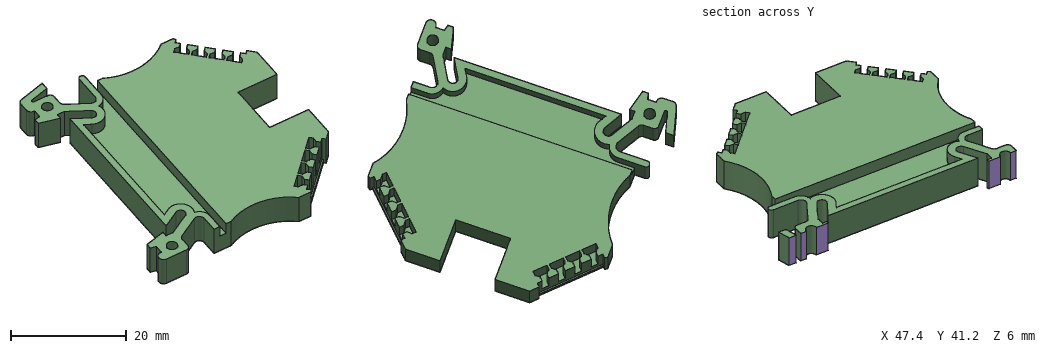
import cadquery as cq
import math


thickness = 6.0
height = 41.2

housing_half_width = 20.55
shoulder_half_width = 22.05
top_half_width = 11.4
top_notch_width = 10.1
top_notch_floor_y = 33.2
shoulder_top_y = 30.7
shoulder_bottom_y = 28.25
waist_half_width = 19.25
waist_y = 20.55
waist_bottom_y = 15.25

face_middle_from_top_corner = 8.1
face_recess_length = 12.5
face_recess_depth = 0.75
face_lip_depth = 0.47
face_lip_height = 0.8
shoulder_tip_length = 0.65
shoulder_tip_inset = shoulder_tip_length / math.sqrt(2)

pocket_count = 4
pocket_pitch = 3.15
pocket_width = 2.65
pocket_neck_width = 1.3
pocket_bottom_depth = 3.05
pocket_shoulder_depth = 2.25
pocket_neck_depth = 1.6
pocket_floor_z = 2.1

ledge_z = 3.65
ledge_top_y = 14.2
rim_bottom_y = 5.2
rim_top_y = 6.45

leg_angle = 60
flange_top_y = 12.95
flange_width = 1.2
flange_bottom_y = flange_top_y - flange_width
flange_reach = 23.1
flange_tip_radius = 0.55
bend_inner_radius = 1.0
bend_outer_radius = bend_inner_radius + flange_width
bend_center = (-17.45, flange_bottom_y - bend_inner_radius)
slot_center = (-14.3, 8.9)
slot_radius = 0.9
slot_wall = 1.5

foot_top_y = 5.85
foot_outer_x = -22.2
foot_inner_x = -17.4
foot_corner_radius = 0.75
leg_root_radius = 0.95
heel_y = 3.95
heel_x = -16.4
lobe_radius = 0.95
sole_notch_y = 1.1
sole_notch_top_x = -18.68
sole_notch_bottom_x = -18.45
foot_hole_center = (-19.95, 3.5)
foot_hole_radius = 1.0

hook_tip_x = -25.2
hook_inner_x = -23.7
hook_slot_bottom_y = 2.0
hook_slot_bottom_x = -22.7
hook_slot_radius = 0.25
hook_heel_x = -23.65
hook_heel_radius = 0.85


def polar(center, radius, degrees):
    angle = math.radians(degrees)
    return (center[0] + radius * math.cos(angle), center[1] + radius * math.sin(angle))


def down_leg(start, y):
    """Point at height y on the line through start that runs parallel to the leg."""
    return (start[0] - (start[1] - y) / math.tan(math.radians(leg_angle)), y)


def edge_at(x, y):
    return cq.NearestToPointSelector((x, y, thickness / 2))


def mirrored(shape):
    return shape.mirror("YZ")


def housing_half():
    """Left half of the housing, down to the underside of the flange."""
    shoulder_tip_y = height - (shoulder_half_width - shoulder_tip_inset - top_half_width)
    return (
        cq.Workplane()
        .moveTo(0, top_notch_floor_y)
        .lineTo(-top_notch_width / 2, top_notch_floor_y)
        .lineTo(-top_notch_width / 2, height)
        .lineTo(-top_half_width, height)
        .lineTo(-shoulder_half_width + shoulder_tip_inset, shoulder_tip_y)
        .lineTo(-shoulder_half_width, shoulder_top_y)
        .lineTo(-shoulder_half_width, shoulder_bottom_y)
        .threePointArc((-waist_half_width, waist_y), (-housing_half_width, waist_bottom_y))
        .lineTo(-housing_half_width, flange_bottom_y)
        .lineTo(0, flange_bottom_y)
        .close()
        .extrude(thickness)
    )


def leg_half():
    """Left half of the rim with its leg and plain foot."""
    normal_angle = leg_angle - 90
    leg_start = polar(bend_center, bend_inner_radius, normal_angle)
    slot_leg_side = polar(slot_center, slot_radius, normal_angle + 180)
    slot_rim_side = polar(slot_center, slot_radius, normal_angle)
    leg_foot_y = slot_leg_side[1] - (slot_leg_side[0] - foot_inner_x) * math.tan(math.radians(leg_angle))
    leg_root = down_leg(leg_start, foot_top_y)
    lobe_center = (foot_outer_x + lobe_radius, lobe_radius)
    leg = (
        cq.Workplane()
        .moveTo(0, flange_top_y)
        .lineTo(bend_center[0], flange_top_y)
        .lineTo(bend_center[0], flange_bottom_y)
        .threePointArc(polar(bend_center, bend_inner_radius, leg_angle / 2), leg_start)
        .lineTo(*leg_root)
        .lineTo(foot_outer_x, foot_top_y)
        .lineTo(foot_outer_x, lobe_radius)
        .threePointArc(polar(lobe_center, lobe_radius, 270), polar(lobe_center, lobe_radius, 0))
        .lineTo(foot_outer_x + 2 * lobe_radius, sole_notch_y)
        .lineTo(sole_notch_top_x, sole_notch_y)
        .lineTo(sole_notch_bottom_x, 0)
        .lineTo(foot_inner_x, 0)
        .lineTo(heel_x, heel_y)
        .lineTo(foot_inner_x, heel_y)
        .lineTo(foot_inner_x, leg_foot_y)
        .lineTo(*slot_leg_side)
        .threePointArc(polar(slot_center, slot_radius, normal_angle + 90), slot_rim_side)
        .lineTo(*down_leg(slot_rim_side, rim_bottom_y))
        .lineTo(0, rim_bottom_y)
        .close()
        .extrude(thickness)
    )
    leg = leg.edges(edge_at(*leg_root)).fillet(leg_root_radius)
    leg = leg.edges(edge_at(foot_outer_x, foot_top_y)).fillet(foot_corner_radius)
    hole = cq.Workplane().center(*foot_hole_center).circle(foot_hole_radius).extrude(thickness)
    return leg.cut(hole)


def ledge_half():
    """Left half of the space above the sunken ledge."""
    wall_radius = slot_radius + slot_wall
    wall_end = polar(slot_center, wall_radius, leg_angle - 90)
    depth = thickness - ledge_z
    plane = cq.Workplane().workplane(offset=ledge_z)
    space = (
        plane.moveTo(0, rim_top_y)
        .lineTo(*down_leg(wall_end, rim_top_y))
        .lineTo(*wall_end)
        .lineTo(*slot_center)
        .lineTo(*bend_center)
        .lineTo(bend_center[0], flange_top_y)
        .lineTo(-housing_half_width, flange_top_y)
        .lineTo(-housing_half_width, ledge_top_y)
        .lineTo(0, ledge_top_y)
        .close()
        .extrude(depth)
    )
    bend = plane.center(*bend_center).circle(bend_outer_radius).extrude(depth)
    slot_end = plane.center(*slot_center).circle(wall_radius).extrude(depth)
    return space.cut(bend).cut(slot_end)


def wire_entry_cut():
    """Recess, lip and marker pockets of the left wire-entry face."""
    inset = face_middle_from_top_corner / math.sqrt(2)
    middle = cq.Vector(-top_half_width - inset, height - inset, 0)
    along_face = cq.Vector(1, 1, 0)
    plane = cq.Plane(origin=middle, xDir=along_face, normal=(0, 0, 1))
    base = cq.Workplane(plane)
    half_length = face_recess_length / 2

    def recess(depth, floor_z):
        return (
            base.workplane(offset=floor_z)
            .moveTo(-half_length, -depth)
            .lineTo(half_length, -depth)
            .lineTo(half_length, 0)
            .lineTo(-half_length, 0)
            .close()
            .extrude(thickness - floor_z)
        )

    cut = recess(face_lip_depth, 0).union(recess(face_recess_depth, face_lip_height))
    half_neck = pocket_neck_width / 2
    half_pocket = pocket_width / 2
    for index in range(pocket_count):
        x = (index - (pocket_count - 1) / 2) * pocket_pitch
        pocket = (
            base.workplane(offset=pocket_floor_z)
            .center(x, 0)
            .polyline(
                [
                    (-half_neck, 0),
                    (-half_neck, -pocket_neck_depth),
                    (-half_pocket, -pocket_shoulder_depth),
                    (-half_pocket, -pocket_bottom_depth),
                    (half_pocket, -pocket_bottom_depth),
                    (half_pocket, -pocket_shoulder_depth),
                    (half_neck, -pocket_neck_depth),
                    (half_neck, 0),
                ]
            )
            .close()
            .extrude(thickness - pocket_floor_z)
        )
        cut = cut.union(pocket)
    return cut


def flange_tip():
    """Rounded end of the left flange, reaching out beyond the housing."""
    tip = (
        cq.Workplane()
        .moveTo(bend_center[0], flange_bottom_y)
        .lineTo(bend_center[0], flange_top_y)
        .lineTo(-flange_reach, flange_top_y)
        .lineTo(-flange_reach, flange_bottom_y)
        .close()
        .extrude(thickness)
    )
    tip = tip.edges(edge_at(-flange_reach, flange_top_y)).fillet(flange_tip_radius)
    return tip.edges(edge_at(-flange_reach, flange_bottom_y)).fillet(flange_tip_radius)


def release_hook():
    lobe_x = foot_outer_x + lobe_radius
    hook = (
        cq.Workplane()
        .moveTo(hook_tip_x, foot_top_y)
        .lineTo(hook_inner_x, foot_top_y)
        .lineTo(hook_slot_bottom_x, hook_slot_bottom_y)
        .lineTo(lobe_x, hook_slot_bottom_y)
        .lineTo(lobe_x, 0)
        .lineTo(hook_heel_x, 0)
        .close()
        .extrude(thickness)
    )
    return hook.edges(edge_at(hook_heel_x, 0)).fillet(hook_heel_radius)


half = housing_half().union(leg_half()).cut(ledge_half()).cut(wire_entry_cut())
block = half.union(mirrored(half))
block = block.union(flange_tip()).union(release_hook())
block = block.edges(edge_at(foot_outer_x, hook_slot_bottom_y)).fillet(hook_slot_radius)
result = block.edges(edge_at(hook_slot_bottom_x, hook_slot_bottom_y)).fillet(hook_slot_radius)